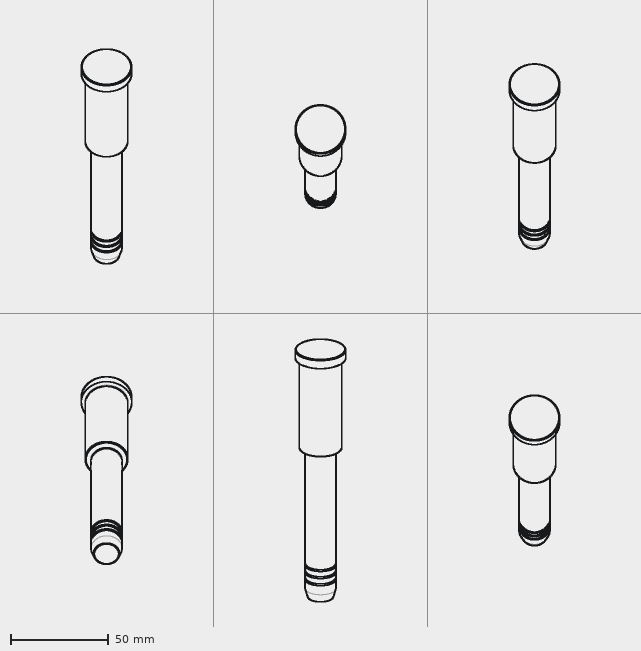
import cadquery as cq
import math

total_length = 140.0
shank_length = 84.0
head_height = 5.0
head_bottom = total_length - head_height

head_radius = 13.0
body_radius = 11.0
shank_radius = 8.0

head_chamfer = 0.5
body_chamfer = 0.5

neck_length = 1.0
neck_depth = 0.5

taper_length = 5.0
taper_angle = math.radians(15)
tip_chamfer_height = 0.2
tip_chamfer_width = 0.5

groove_radius = 0.5
oil_groove_count = 3
oil_groove_pitch = 4.0
lowest_oil_groove = 10.5


def add_groove(profile, surface_radius, height):
    """Draw the profile up to a groove and through its half-round section."""
    return (
        profile.lineTo(surface_radius, height - groove_radius)
        .threePointArc(
            (surface_radius - groove_radius, height),
            (surface_radius, height + groove_radius),
        )
    )


def tip_profile():
    """Start the half profile on the axis and draw the tip up to the shank."""
    taper_height = taper_length - tip_chamfer_height
    tip_radius = shank_radius - taper_height * math.tan(taper_angle)
    return (
        cq.Workplane("XZ")
        .moveTo(0, 0)
        .lineTo(tip_radius - tip_chamfer_width, 0)
        .lineTo(tip_radius, tip_chamfer_height)
        .lineTo(shank_radius, taper_length)
    )


def add_shank(profile):
    """Draw the shank with its oil grooves and the relief neck above it."""
    for index in range(oil_groove_count):
        height = lowest_oil_groove + index * oil_groove_pitch
        profile = add_groove(profile, shank_radius, height)
    neck_radius = shank_radius - neck_depth
    neck_bottom = shank_length - neck_length
    return (
        profile.lineTo(shank_radius, neck_bottom)
        .lineTo(neck_radius, neck_bottom)
        .lineTo(neck_radius, shank_length)
    )


def add_body(profile):
    """Draw the body, chamfered below and grooved directly under the head."""
    profile = (
        profile.lineTo(body_radius - body_chamfer, shank_length)
        .lineTo(body_radius, shank_length + body_chamfer)
    )
    return add_groove(profile, body_radius, head_bottom - groove_radius)


def add_head(profile):
    """Draw the chamfered head and close the profile along the axis."""
    return (
        profile.lineTo(head_radius, head_bottom)
        .lineTo(head_radius, total_length - head_chamfer)
        .lineTo(head_radius - head_chamfer, total_length)
        .lineTo(0, total_length)
        .close()
    )


half_profile = add_head(add_body(add_shank(tip_profile())))
result = half_profile.revolve(360, (0, 0, 0), (0, 1, 0))